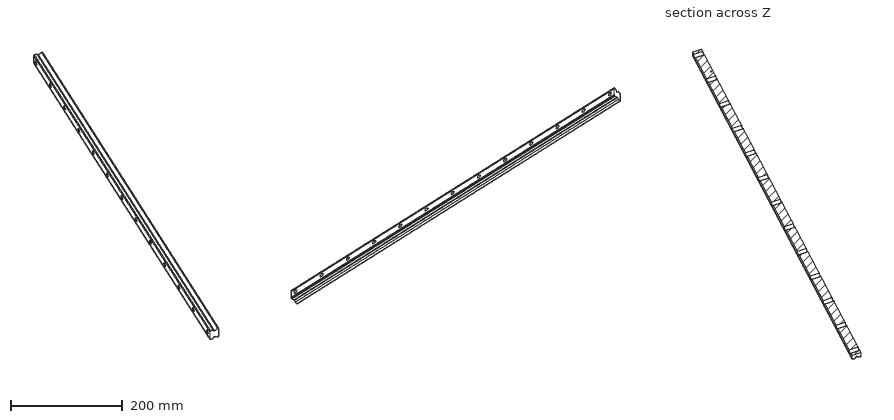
import cadquery as cq
import math

length = 740.0
height = 18.0
width = 23.0

half_width = width / 2
base_face = -height / 2
head_face = height / 2
base_chamfer = 1.6
base_height = 6.3
throat_half_width = 7.95
base_flank_angle = 60.0
head_flank_angle = 30.0
throat_flat = 1.05
flank_height = 13.65
lip_height = 15.68

groove_radius = 1.46
groove_center_height = 18.55
groove_center_half_width = 10.42

hole_count = 13
hole_pitch = 60.0
hole_diameter = 7.0


def side_outline():
    """Points of the +Z side of the section, from the base to the head."""
    shoulder = base_face + base_height
    base_flank_depth = half_width - throat_half_width
    throat_start = shoulder + base_flank_depth / math.tan(math.radians(base_flank_angle))
    throat_end = throat_start + throat_flat
    flank_end = base_face + flank_height
    flank_rise = (flank_end - throat_end) * math.tan(math.radians(head_flank_angle))
    return [
        (base_face, half_width - base_chamfer),
        (base_face + base_chamfer, half_width),
        (shoulder, half_width),
        (throat_start, throat_half_width),
        (throat_end, throat_half_width),
        (flank_end, throat_half_width + flank_rise),
        (base_face + lip_height, half_width),
        (head_face, half_width),
    ]


def section_plane():
    return cq.Workplane("YZ", origin=(-length / 2, 0, 0))


def make_rail():
    side = side_outline()
    mirrored_side = [(y, -z) for y, z in reversed(side)]
    return section_plane().polyline(side + mirrored_side).close().extrude(length)


def cut_raceway_grooves(rail):
    center_y = base_face + groove_center_height
    centers = [(center_y, side * groove_center_half_width) for side in (-1, 1)]
    grooves = section_plane().pushPoints(centers).circle(groove_radius).extrude(length)
    return rail.cut(grooves)


def drill_mounting_holes(rail):
    base_plane = cq.Workplane("XZ", origin=(0, base_face, 0))
    centers = base_plane.rarray(hole_pitch, 1, hole_count, 1)
    return rail.cut(centers.circle(hole_diameter / 2).extrude(-height))


result = drill_mounting_holes(cut_raceway_grooves(make_rail()))